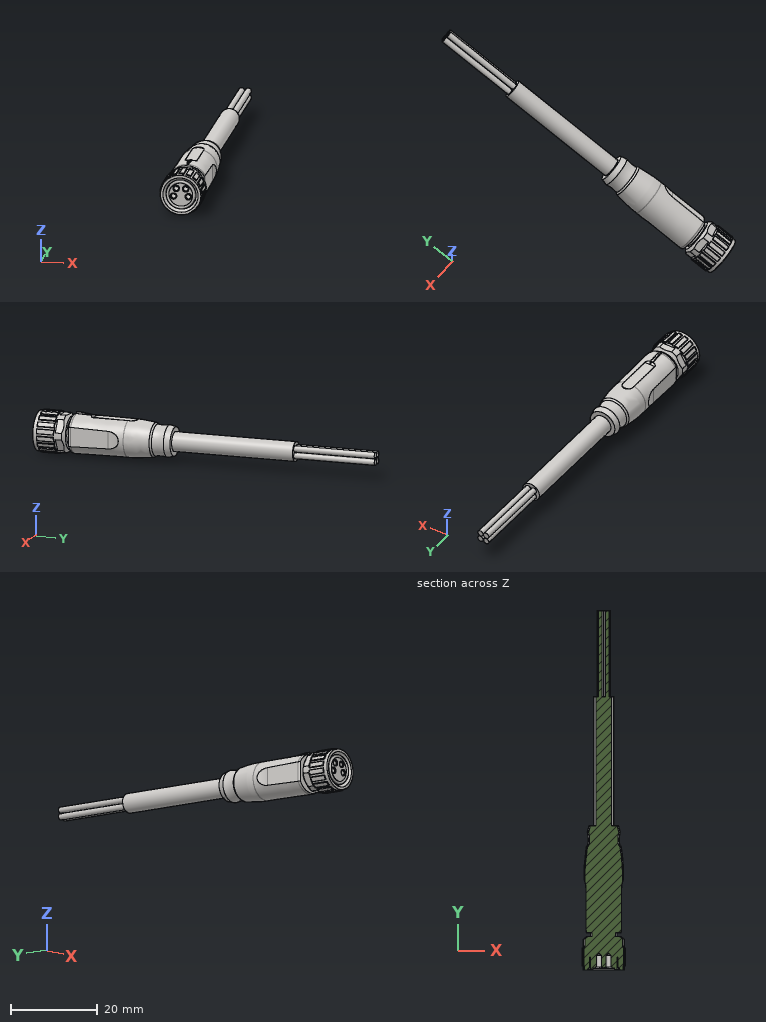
import cadquery as cq
import math


nut_rim_length = 1.0
knurl_end = 5.2
flat_end = 7.15
nut_end = 7.85
body_start = 8.65
body_chamfer_length = 0.55
shoulder_start = 22.4
shoulder_end = 28.65
collar_start = 29.1
collar_rim = 32.1
body_end = 33.6
cable_length = 30.0
wire_length = 20.0

nut_diameter = 9.6
nut_back_diameter = 8.0
knurl_diameter = 10.1
groove_count = 18
groove_diameter = 0.7
nut_flat_count = 6
nut_flat_distance = 4.5
nut_flat_ramp_start = 5.6
bore_diameter = 7.1
bore_mouth_diameter = 8.3
bore_mouth_depth = 0.6
bore_depth = 3.0

insert_diameter = 6.9
insert_face_diameter = 5.6
seal_ridge_diameter = (insert_diameter + insert_face_diameter) / 2
insert_recess = 0.4
contact_positions = [(-1.13, 1.41), (1.13, 1.41), (-1.75, -0.46), (1.75, -0.46)]
contact_diameter = 1.5
contact_recess = 0.3
socket_diameter = 1.1
socket_depth = 3.0
socket_tip_length = socket_diameter / 2

neck_diameter = 6.25
body_diameter = 9.5
body_chamfer = 0.15
shoulder_diameter = 9.2
shoulder_end_diameter = 8.2
shoulder_bulge = 0.13
collar_diameter = 7.5
collar_waist_diameter = 7.3
rim_diameter = 7.7
collar_end_diameter = 6.9
side_flat_distance = 8.3 / 2
side_flat_end = 18.5
side_flat_runout = 2.8
side_flat_rise = 0.5

label_width = 2.77
label_start = 13.7
label_tip = 24.3
label_floor = 4.38
label_ramp_length = 0.75
label_ramp_rise = 0.32
pointer_back = 12.9
pointer_peak = 10.3
pointer_front = 9.1
pointer_back_width = 0.8
pointer_front_width = 0.3
pointer_top = 5.17

cable_diameter = 4.7
wire_diameter = 1.5
wire_offset = 0.8

clearance = 1.0


def rod(diameter, start, end, x=0.0, z=0.0):
    """Cylinder along Y between two stations."""
    axis_start = cq.Vector(x, start, z)
    return cq.Workplane(obj=cq.Solid.makeCylinder(diameter / 2, end - start, axis_start, cq.Vector(0, 1, 0)))


def cone(start_diameter, end_diameter, start, end):
    """Conical frustum along Y between two stations."""
    return cq.Workplane(obj=cq.Solid.makeCone(
        start_diameter / 2, end_diameter / 2, end - start, cq.Vector(0, start, 0), cq.Vector(0, 1, 0)))


def turn_about_axis(shape, angle):
    return shape.rotate((0, 0, 0), (0, 1, 0), angle)


def make_nut():
    nut = rod(nut_diameter, 0, flat_end)
    nut = nut.union(cone(nut_diameter, nut_back_diameter, flat_end, nut_end))

    flat_profile = (
        cq.Workplane("YZ")
        .moveTo(knurl_end, nut_diameter / 2)
        .lineTo(nut_flat_ramp_start, nut_flat_distance)
        .lineTo(nut_end, nut_flat_distance)
        .lineTo(nut_end, nut_diameter)
        .lineTo(knurl_end, nut_diameter)
        .close()
    )
    flat_cutter = flat_profile.extrude(nut_flat_distance / 2, both=True)
    for i in range(nut_flat_count):
        nut = nut.cut(turn_about_axis(flat_cutter, i * 360 / nut_flat_count))

    knurl = rod(knurl_diameter, nut_rim_length, knurl_end)
    groove = rod(groove_diameter, nut_rim_length, knurl_end, 0, knurl_diameter / 2)
    for i in range(groove_count):
        knurl = knurl.cut(turn_about_axis(groove, (i + 0.5) * 360 / groove_count))
    nut = nut.union(knurl)

    nut = nut.cut(rod(bore_diameter, 0, bore_depth))
    return nut.cut(cone(bore_mouth_diameter, bore_diameter, 0, bore_mouth_depth))


def make_insert():
    """Contact carrier with a rounded sealing ridge around its face."""
    ridge_radius = (insert_diameter - insert_face_diameter) / 4
    insert = rod(insert_diameter, insert_recess, bore_depth)
    seal_ridge = cq.Workplane(obj=cq.Solid.makeTorus(
        seal_ridge_diameter / 2, ridge_radius, cq.Vector(0, insert_recess, 0), cq.Vector(0, 1, 0)))
    insert = insert.union(seal_ridge)
    for x, z in contact_positions:
        insert = insert.cut(rod(contact_diameter, insert_recess, insert_recess + contact_recess, x, z))
    return insert


def cut_sockets(part):
    """Round contact holes with conical bottoms."""
    socket_end = insert_recess + socket_depth
    socket_tip = cone(socket_diameter, 0, socket_end, socket_end + socket_tip_length)
    for x, z in contact_positions:
        part = part.cut(rod(socket_diameter, insert_recess, socket_end, x, z))
        part = part.cut(socket_tip.translate((x, 0, z)))
    return part


def make_body():
    shoulder_middle = (shoulder_start + shoulder_end) / 2
    shoulder_middle_radius = (shoulder_diameter + shoulder_end_diameter) / 4 + shoulder_bulge
    collar_middle = (collar_start + collar_rim) / 2
    body = (
        cq.Workplane("XY")
        .moveTo(0, body_start)
        .lineTo(body_diameter / 2 - body_chamfer, body_start)
        .lineTo(body_diameter / 2, body_start + body_chamfer_length)
        .lineTo(shoulder_diameter / 2, shoulder_start)
        .threePointArc((shoulder_middle_radius, shoulder_middle), (shoulder_end_diameter / 2, shoulder_end))
        .lineTo(collar_diameter / 2, collar_start)
        .threePointArc((collar_waist_diameter / 2, collar_middle), (rim_diameter / 2, collar_rim))
        .lineTo(collar_end_diameter / 2, body_end)
        .lineTo(0, body_end)
        .close()
        .revolve(360, (0, 0, 0), (0, 1, 0))
    )
    return body.union(rod(neck_diameter, nut_end, body_start))


def cut_side_flats(body):
    """Grip flats on -X and +X, chamfered in front and curving out of the body at the back."""
    outside = body_diameter
    runout_radius = (side_flat_runout**2 + side_flat_rise**2) / (2 * side_flat_rise)
    half_angle = math.asin(side_flat_runout / runout_radius) / 2
    arc_middle = (
        side_flat_distance + runout_radius * (1 - math.cos(half_angle)),
        side_flat_end + runout_radius * math.sin(half_angle),
    )
    cutter = (
        cq.Workplane("XY")
        .moveTo(side_flat_distance - body_chamfer, body_start)
        .lineTo(side_flat_distance, body_start + body_chamfer_length)
        .lineTo(side_flat_distance, side_flat_end)
        .threePointArc(arc_middle, (side_flat_distance + side_flat_rise, side_flat_end + side_flat_runout))
        .lineTo(outside, side_flat_end + side_flat_runout)
        .lineTo(outside, body_start)
        .close()
        .extrude(body_diameter / 2, both=True)
    )
    return body.cut(cutter).cut(cutter.mirror("YZ"))


def cut_label_recess(body):
    half_width = label_width / 2
    arch_start = label_tip - half_width
    recess = (
        cq.Workplane("XY", origin=(0, 0, label_floor))
        .moveTo(-half_width, label_start)
        .lineTo(half_width, label_start)
        .lineTo(half_width, arch_start)
        .threePointArc((0, label_tip), (-half_width, arch_start))
        .close()
        .extrude(clearance)
    )
    ramp = (
        cq.Workplane("YZ")
        .moveTo(label_start, label_floor)
        .lineTo(label_start - label_ramp_length, label_floor + label_ramp_rise)
        .lineTo(label_start, label_floor + label_ramp_rise)
        .close()
        .extrude(half_width, both=True)
    )
    return body.cut(recess).cut(ramp)


def make_pointer():
    """Ridge that narrows and rises toward the nut."""
    outline = (
        cq.Workplane("XY", origin=(0, 0, label_floor))
        .polyline([
            (-pointer_front_width / 2, pointer_front),
            (pointer_front_width / 2, pointer_front),
            (pointer_back_width / 2, pointer_back),
            (-pointer_back_width / 2, pointer_back),
        ])
        .close()
        .extrude(clearance)
    )
    side_profile = (
        cq.Workplane("YZ")
        .polyline([
            (pointer_front, label_floor),
            (pointer_front, pointer_top),
            (pointer_peak, pointer_top),
            (pointer_back, body_diameter / 2),
            (pointer_back, label_floor),
        ])
        .close()
        .extrude(pointer_back_width, both=True)
    )
    return outline.intersect(side_profile)


def make_cable():
    cable_end = body_end + cable_length
    cable = rod(cable_diameter, body_end, cable_end)
    for x in (-wire_offset, wire_offset):
        for z in (-wire_offset, wire_offset):
            cable = cable.union(rod(wire_diameter, cable_end, cable_end + wire_length, x, z))
    return cable


body = cut_label_recess(cut_side_flats(make_body()))
connector = make_nut().union(make_insert()).union(body).union(make_pointer())
result = cut_sockets(connector).union(make_cable())